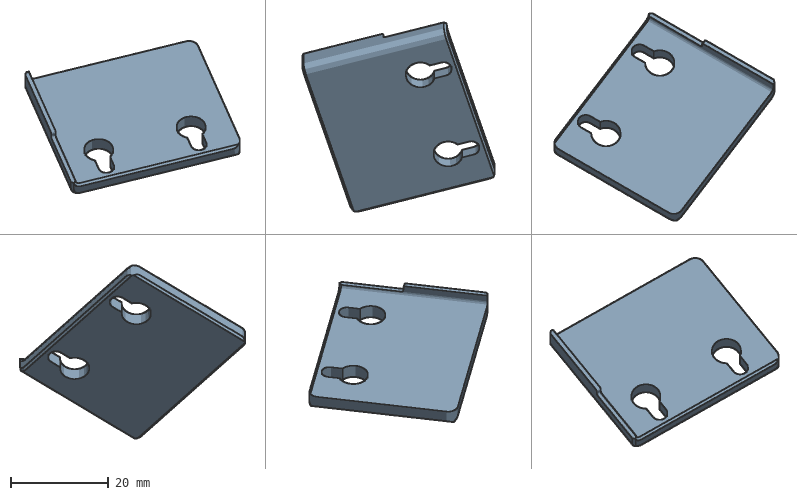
import cadquery as cq

width = 31.0
length = 36.97
height = 5.5

plate_thickness = 3.0
lip_thickness = 1.0
bend_outer_radius = 2.0
bend_inner_radius = 1.0

step_x = 17.55
low_lip_height = 4.0
step_radius = 0.48

edge_chamfer = 0.48
corner_radius = 2.0

keyhole_spacing = 20.0
keyhole_x = 23.0
keyhole_diameter = 6.0
slot_width = 3.25
slot_reach = 5.0


def bent_plate():
    """Plate with an upturned front lip, rounded inside and outside the bend."""
    profile = (
        cq.Workplane("YZ")
        .moveTo(bend_outer_radius, 0)
        .lineTo(length, 0)
        .lineTo(length, plate_thickness)
        .lineTo(lip_thickness + bend_inner_radius, plate_thickness)
        .radiusArc((lip_thickness, plate_thickness + bend_inner_radius), bend_inner_radius)
        .lineTo(lip_thickness, height)
        .lineTo(0, height)
        .lineTo(0, bend_outer_radius)
        .radiusArc((bend_outer_radius, 0), -bend_outer_radius)
        .close()
    )
    return profile.extrude(width)


def lip_step_cutter():
    """Volume above the low part of the lip, with both step corners rounded."""
    return (
        cq.Workplane("XZ")
        .moveTo(step_x - step_radius, height)
        .radiusArc((step_x, height - step_radius), step_radius)
        .lineTo(step_x, low_lip_height + step_radius)
        .radiusArc((step_x + step_radius, low_lip_height), -step_radius)
        .lineTo(width, low_lip_height)
        .lineTo(width, height)
        .close()
        .extrude(-lip_thickness)
    )


def rounded_footprint():
    """Upright block that rounds the two rear corners of the plate."""
    block = cq.Workplane("XY").box(width, length, height, centered=False)
    return block.edges("|Z and >Y").fillet(corner_radius)


def keyhole(center_y):
    """Through cutter for one keyhole."""
    slot_end_x = keyhole_x + slot_reach
    entry = cq.Workplane("XY").center(keyhole_x, center_y).circle(keyhole_diameter / 2)
    slot = cq.Workplane("XY").center((keyhole_x + slot_end_x) / 2, center_y)
    slot = slot.slot2D(slot_reach + slot_width, slot_width)
    return entry.extrude(plate_thickness).union(slot.extrude(plate_thickness))


def outer_edges(body, side):
    """Front, bend and bottom edges of one side face, chosen by the x of that face."""
    reach = edge_chamfer / 2
    front = cq.selectors.BoxSelector((side - reach, -reach, bend_outer_radius),
                                     (side + reach, reach, height))
    bend = cq.selectors.BoxSelector((side - reach, -reach, -reach),
                                    (side + reach, bend_outer_radius, bend_outer_radius))
    bottom = cq.selectors.BoxSelector((side - reach, bend_outer_radius, -reach),
                                      (side + reach, length, reach))
    return body.edges(front + bend + bottom)


body = bent_plate()

chamfered_edges = outer_edges(body, 0).add(outer_edges(body, width)).add(body.edges("<Z and >Y"))
body = chamfered_edges.chamfer(edge_chamfer)

inner_side_edges = cq.selectors.BoxSelector(
    (width - edge_chamfer / 2, lip_thickness - edge_chamfer / 2, plate_thickness - edge_chamfer / 2),
    (width + edge_chamfer / 2, length - edge_chamfer / 2, height - edge_chamfer / 2),
)
body = body.edges(inner_side_edges).chamfer(edge_chamfer)

body = body.cut(lip_step_cutter()).intersect(rounded_footprint())
for direction in (-1, 1):
    body = body.cut(keyhole(length / 2 + direction * keyhole_spacing / 2))

result = body